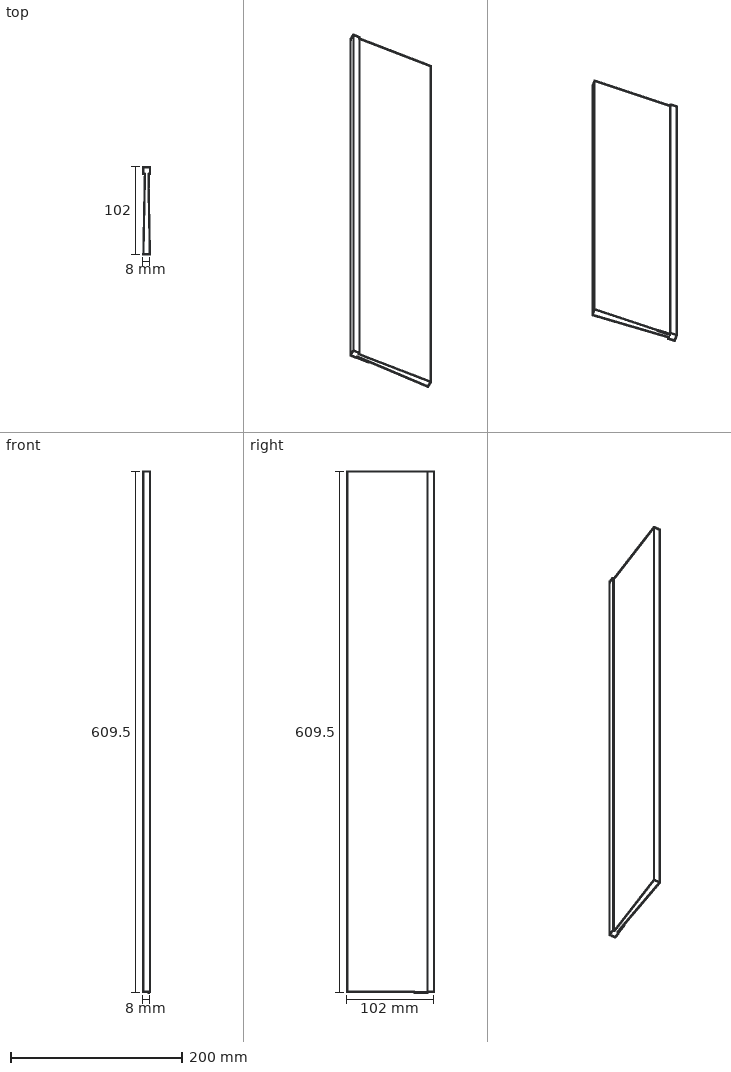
import cadquery as cq

thickness = 8.0
width = 102.0
total_height = 609.5

rim_width = 8.0
web_thickness = 4.0

tab_height = 1.0
tab_length = 15.0
tab_thickness = 0.5
tab_offset_x = 2.5

panel_height = total_height - tab_height
front_y = -width / 2
back_y = width / 2
rim_y = back_y - rim_width


def make_panel():
    """Extrude a web that thickens evenly from the back rim to the front edge."""
    half = thickness / 2
    half_web = web_thickness / 2
    right_side = [
        (half, front_y),
        (half_web, rim_y),
        (half, rim_y),
        (half, back_y),
    ]
    left_side = [(-x, y) for x, y in reversed(right_side)]
    return (
        cq.Workplane("XY")
        .workplane(offset=tab_height)
        .polyline(right_side + left_side)
        .close()
        .extrude(panel_height)
    )


def make_tab():
    """Thin strip below the panel, starting at the inner face of the back rim."""
    return (
        cq.Workplane("XY")
        .center(tab_offset_x, rim_y - tab_length / 2)
        .rect(tab_thickness, tab_length)
        .extrude(tab_height)
    )


result = make_panel().union(make_tab())